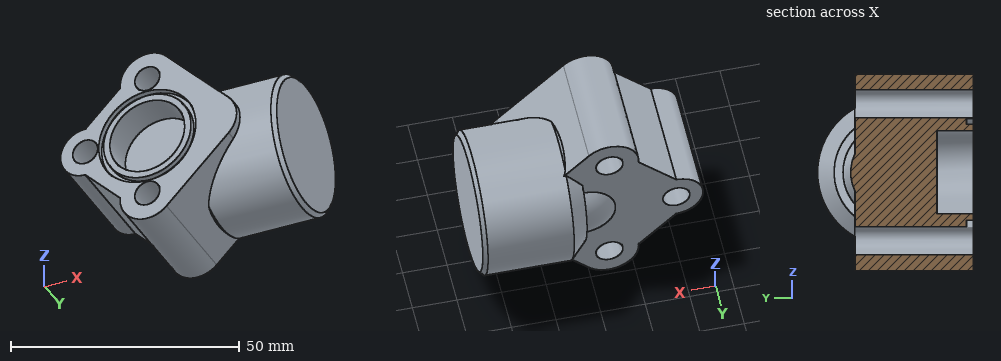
import cadquery as cq
import math

block_depth = 26.0
bolt_offset = 15.0
bolt_hole_radius = 3.0
left_lobe_radius = 6.0
lobe_radius = 6.6

bore_radius = 9.05
bore_depth = 8.0
groove_inner_radius = 10.55
groove_outer_radius = 11.75
groove_depth = 1.55

port_axis_y = 18.0
port_radius = 16.2
port_start_x = 6.0
port_end_x = 30.0
root_chamfer = 3.65
end_chamfer = 0.95

dome_center_x = 5.6
dome_radius = 10.6


def front_plane():
    """XZ plane with local Y along global Z and the normal facing out of the front face."""
    return cq.Plane(origin=(0, 0, 0), xDir=(1, 0, 0), normal=(0, -1, 0))


def cylinder_along_y(x, z, radius, depth):
    return cq.Workplane(front_plane()).center(x, z).circle(radius).extrude(-depth)


def make_block():
    tangent = lobe_radius * math.sqrt(0.5)
    lobe_left_z = left_lobe_radius + bolt_offset - lobe_radius
    web = (
        cq.Workplane(front_plane())
        .moveTo(-bolt_offset, left_lobe_radius)
        .lineTo(-lobe_radius, lobe_left_z)
        .lineTo(0, bolt_offset)
        .lineTo(tangent, bolt_offset + tangent)
        .lineTo(bolt_offset + tangent, tangent)
        .threePointArc((bolt_offset + lobe_radius, 0), (bolt_offset + tangent, -tangent))
        .lineTo(tangent, -bolt_offset - tangent)
        .lineTo(0, -bolt_offset)
        .lineTo(-lobe_radius, -lobe_left_z)
        .lineTo(-bolt_offset, -left_lobe_radius)
        .close()
        .extrude(-block_depth)
    )
    block = web.union(cylinder_along_y(-bolt_offset, 0, left_lobe_radius, block_depth))
    for side in (1, -1):
        block = block.union(cylinder_along_y(0, side * bolt_offset, lobe_radius, block_depth))
    return block


def make_port():
    return (
        cq.Workplane("YZ", origin=(port_start_x, port_axis_y, 0))
        .circle(port_radius)
        .extrude(port_end_x - port_start_x)
        .faces("<X")
        .chamfer(root_chamfer)
        .faces(">X")
        .chamfer(end_chamfer)
    )


def make_dome():
    return cq.Workplane("XY").sphere(dome_radius).translate((dome_center_x, port_axis_y, 0))


def cut_bolt_holes(body):
    for x, z in ((-bolt_offset, 0), (0, bolt_offset), (0, -bolt_offset)):
        body = body.cut(cylinder_along_y(x, z, bolt_hole_radius, block_depth))
    return body


def cut_bore_and_groove(body):
    groove = cylinder_along_y(0, 0, groove_outer_radius, groove_depth).cut(
        cylinder_along_y(0, 0, groove_inner_radius, groove_depth)
    )
    return body.cut(groove).cut(cylinder_along_y(0, 0, bore_radius, bore_depth))


body = make_block().union(make_port()).union(make_dome())
result = cut_bore_and_groove(cut_bolt_holes(body))